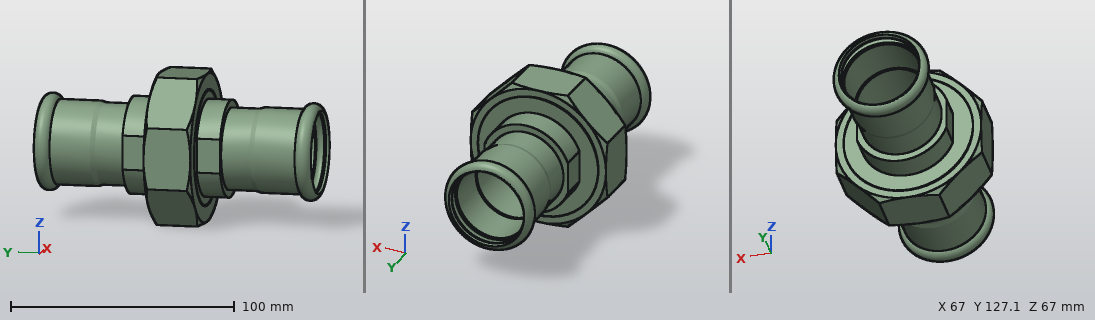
import cadquery as cq
import math

LENGTH = 127.1
HALF = LENGTH / 2

BORE_D = 34.0
NECK_D = 37.0
SOCKET_D = 38.4
SOCKET_BORE_D = 35.5
MOUTH_D = 35.8
MOUTH_RIM_D = 37.2
MOUTH_BEVEL_DEPTH = 1.5
BEAD_D = 43.7
BEAD_WIDTH = 7.4
GROOVE_D = 42.0
GROOVE_WIDTH = 3.5
GROOVE_SETBACK = 4.3
GROOVE_EASE = 0.5
NECK_END = 35.3
SOCKET_START = 37.6

COLLAR_D = 44.0
COLLAR_FLATS = 41.2
COLLAR_END = 22.4

NUT_FLATS = 67.0
NUT_FRONT = -11.7
NUT_BACK = 9.8
NUT_CHAMFER_ANGLE = 30.0
NUT_SIDES = 8
NUT_HOLE_D = 52.4
INSERT_D = 51.3
GAP_DEPTH = 1.3
FLANGE_D = 59.6
FLANGE_BACK = 10.3


def cylinder(diameter, start, end):
    """Solid cylinder on the Y axis between two Y positions."""
    return cq.Workplane("XZ", origin=(0, start, 0)).circle(diameter / 2).extrude(start - end)


def make_pipe_end():
    """Solid +Y pipe end: neck, stepped-out socket and rounded bead."""
    bead_start = HALF - BEAD_WIDTH
    bead_middle = HALF - BEAD_WIDTH / 2
    return (
        cq.Workplane("XY")
        .lineTo(NECK_D / 2, 0)
        .lineTo(NECK_D / 2, NECK_END)
        .lineTo(SOCKET_D / 2, SOCKET_START)
        .lineTo(SOCKET_D / 2, bead_start)
        .threePointArc((BEAD_D / 2, bead_middle), (MOUTH_RIM_D / 2, HALF))
        .lineTo(0, HALF)
        .close()
        .revolve(360, (0, 0, 0), (0, 1, 0))
    )


def make_end_bore():
    """Socket bore of the +Y end, with a rounded seal groove under the bead and an eased mouth."""
    groove_middle = HALF - GROOVE_SETBACK
    groove_start = groove_middle - GROOVE_WIDTH / 2
    groove_end = groove_middle + GROOVE_WIDTH / 2
    bore = (
        cq.Workplane("XY")
        .moveTo(0, SOCKET_START)
        .lineTo(SOCKET_BORE_D / 2, SOCKET_START)
        .lineTo(SOCKET_BORE_D / 2, groove_start - GROOVE_EASE)
        .lineTo(MOUTH_D / 2 + GROOVE_EASE, groove_start)
        .threePointArc((GROOVE_D / 2, groove_middle), (MOUTH_D / 2 + GROOVE_EASE, groove_end))
        .lineTo(MOUTH_D / 2, groove_end + GROOVE_EASE)
        .lineTo(MOUTH_D / 2, HALF - MOUTH_BEVEL_DEPTH)
        .lineTo(MOUTH_RIM_D / 2, HALF)
        .lineTo(0, HALF)
        .close()
    )
    return bore.revolve(360, (0, 0, 0), (0, 1, 0))


def make_collars():
    """Round collars on both sides of the nut, with wrench flats facing -X and +X."""
    flats = cq.Workplane("XY").box(COLLAR_FLATS, LENGTH, COLLAR_D)
    return cylinder(COLLAR_D, -COLLAR_END, COLLAR_END).intersect(flats)


def make_nut():
    """Octagon with conically chamfered corners, a seated insert and a back flange."""
    corner_radius = NUT_FLATS / 2 / math.cos(math.pi / NUT_SIDES)
    chamfer_run = corner_radius - NUT_FLATS / 2
    chamfer_depth = chamfer_run * math.tan(math.radians(NUT_CHAMFER_ANGLE))
    octagon = (
        cq.Workplane("XZ", origin=(0, NUT_FRONT, 0))
        .transformed(rotate=(0, 0, 180 / NUT_SIDES))
        .polygon(NUT_SIDES, 2 * corner_radius)
        .extrude(NUT_FRONT - NUT_BACK)
    )
    corner_cones = cylinder(2 * corner_radius, NUT_FRONT, NUT_BACK)
    corner_cones = corner_cones.faces("<Y or >Y").chamfer(chamfer_depth, chamfer_run)
    gap = cylinder(NUT_HOLE_D, NUT_FRONT, NUT_FRONT + GAP_DEPTH)
    gap = gap.cut(cylinder(INSERT_D, NUT_FRONT, NUT_FRONT + GAP_DEPTH))
    flange = cylinder(FLANGE_D, NUT_BACK, FLANGE_BACK)
    return octagon.intersect(corner_cones).cut(gap).union(flange)


pipe_end = make_pipe_end()
end_bore = make_end_bore()
result = make_nut().union(make_collars())
result = result.union(pipe_end).union(pipe_end.mirror("XZ"))
result = result.cut(cylinder(BORE_D, -HALF, HALF))
result = result.cut(end_bore).cut(end_bore.mirror("XZ"))